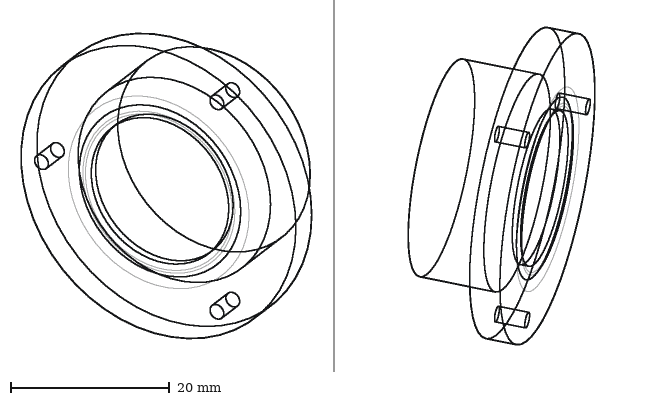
import cadquery as cq
import math

flange_diameter = 40.0
flange_thickness = 4.0
spigot_diameter = 28.0
overall_length = 14.0

recess_diameter = 20.0
recess_depth = 1.5

lip_width = 1.74
lip_flank_angle = math.radians(27.5)
lip_crest_radius = 0.4

groove_outer_radius = 13.15

screw_hole_diameter = 2.0
screw_hole_count = 3
screw_pitch_radius = 17.0
first_hole_angle = 60.0


def make_body():
    """Revolve the half section, drawn as (radius, distance behind the front face)."""
    recess_radius = recess_diameter / 2
    flange_radius = flange_diameter / 2
    spigot_radius = spigot_diameter / 2

    lip_radius = recess_radius + lip_width / 2
    crest_half_width = lip_crest_radius * math.sin(lip_flank_angle)
    crest_height = lip_crest_radius * (1 - math.cos(lip_flank_angle))
    flank_width = lip_width / 2 - crest_half_width
    lip_height = crest_height + flank_width * math.tan(lip_flank_angle)

    section = (
        cq.Workplane("XY")
        .moveTo(0, recess_depth)
        .lineTo(recess_radius, recess_depth)
        .lineTo(recess_radius, lip_height)
        .lineTo(lip_radius - crest_half_width, crest_height)
        .threePointArc((lip_radius, 0), (lip_radius + crest_half_width, crest_height))
        .lineTo(recess_radius + lip_width, lip_height)
        .lineTo(groove_outer_radius, 0)
        .lineTo(flange_radius, 0)
        .lineTo(flange_radius, flange_thickness)
        .lineTo(spigot_radius, flange_thickness)
        .lineTo(spigot_radius, overall_length)
        .lineTo(0, overall_length)
        .close()
    )
    return section.revolve(360, (0, 0), (0, 1))


def make_screw_holes():
    """Cylinders through the flange, equally spaced about the Y axis."""
    centers = []
    for index in range(screw_hole_count):
        angle = math.radians(first_hole_angle + index * 360 / screw_hole_count)
        centers.append((screw_pitch_radius * math.cos(angle), screw_pitch_radius * math.sin(angle)))
    return cq.Workplane("XZ").pushPoints(centers).circle(screw_hole_diameter / 2).extrude(-flange_thickness)


result = make_body().cut(make_screw_holes())